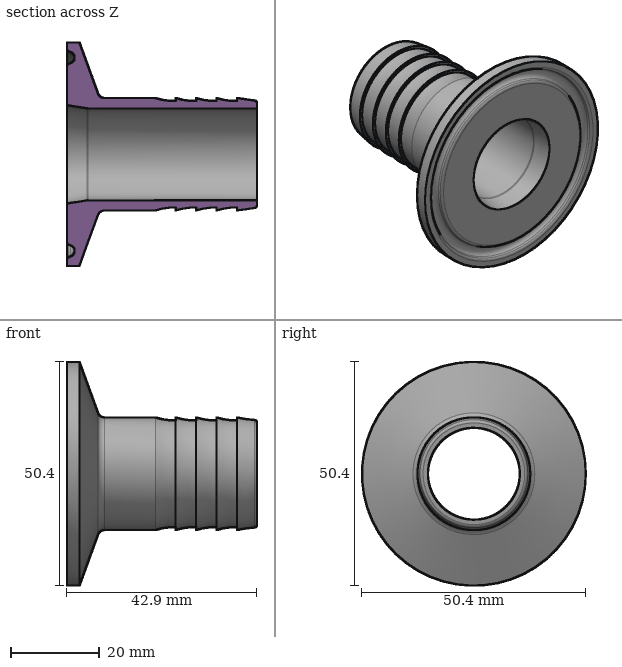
import cadquery as cq
import math

overall_length = 42.85
flange_radius = 25.2
rim_thickness = 2.85
flank_angle = 20.0
neck_fillet = 1.5

body_radius = 12.7
barb_count = 5
barb_pitch = 4.6
barb_drop = 0.65
barb_sag = 0.2
tip_fillet = 0.7

bore_diameter = 20.6
bore_radius = bore_diameter / 2
entry_radius = 11.05
entry_depth = 4.65
entry_blend = 1.5

groove_radius = 21.75
groove_half_width = 1.95
groove_wall_angle = 20.0
groove_floor_radius = 1.25
groove_edge_fillet = 0.65


def turned(outline):
    """Revolve an outline drawn as (X, radius) about the X axis."""
    return outline.close().revolve(360, (0, 0, 0), (1, 0, 0))


def make_outer_body():
    """Flange, neck and barbed hose tail, still without bore and groove."""
    barbs_start = overall_length - barb_count * barb_pitch
    barb_low_radius = body_radius - barb_drop

    slope = math.radians(flank_angle)
    corner_x = rim_thickness + (flange_radius - body_radius) * math.tan(slope)
    turn = math.pi / 2 - slope
    tangent_length = neck_fillet * math.tan(turn / 2)
    flank_end = (
        corner_x - tangent_length * math.sin(slope),
        body_radius + tangent_length * math.cos(slope),
    )
    neck_start = (corner_x + tangent_length, body_radius)
    fillet_middle = (
        neck_start[0] - neck_fillet * math.sin(turn / 2),
        body_radius + neck_fillet * (1 - math.cos(turn / 2)),
    )

    outline = (
        cq.Workplane("XY")
        .lineTo(0, flange_radius)
        .lineTo(rim_thickness, flange_radius)
        .lineTo(*flank_end)
        .threePointArc(fillet_middle, neck_start)
        .lineTo(barbs_start, body_radius)
    )
    for index in range(barb_count - 1):
        barb_x = barbs_start + index * barb_pitch
        middle_radius = body_radius - barb_drop / 2 - barb_sag
        outline = (
            outline
            .threePointArc((barb_x + barb_pitch / 2, middle_radius), (barb_x + barb_pitch, barb_low_radius))
            .lineTo(barb_x + barb_pitch, body_radius)
        )
    outline = outline.lineTo(overall_length, barb_low_radius).lineTo(overall_length, 0)
    return turned(outline).faces(">X").edges().fillet(tip_fillet)


def make_bore():
    """Through bore with a tapered entry on the flange side."""
    outline = (
        cq.Workplane("XY")
        .lineTo(0, entry_radius)
        .lineTo(entry_depth, bore_radius)
        .lineTo(overall_length, bore_radius)
        .lineTo(overall_length, 0)
    )
    bore = turned(outline)
    entry_end = cq.selectors.BoxSelector(
        (entry_depth - entry_blend / 2, -entry_radius, -entry_radius),
        (entry_depth + entry_blend / 2, entry_radius, entry_radius),
    )
    return bore.edges("%CIRCLE").edges(entry_end).fillet(entry_blend)


def make_gasket_groove():
    """Ring groove with a round floor, short tilted walls and rounded mouth edges."""
    turn = math.radians(90 - groove_wall_angle)
    edge_width = groove_edge_fillet * math.sin(turn)
    edge_depth = groove_edge_fillet * (1 - math.cos(turn))
    floor_half_width = groove_floor_radius * math.sin(turn)
    wall_width = groove_half_width - edge_width - floor_half_width
    wall_end_depth = edge_depth + wall_width * math.tan(turn)
    groove_depth = wall_end_depth + groove_floor_radius * (1 - math.cos(turn))

    half_edge_offset = groove_half_width - groove_edge_fillet * math.sin(turn / 2)
    half_edge_depth = groove_edge_fillet * (1 - math.cos(turn / 2))

    wall_start_offset = groove_half_width - edge_width
    outline = (
        cq.Workplane("XY")
        .moveTo(0, groove_radius - groove_half_width)
        .threePointArc(
            (half_edge_depth, groove_radius - half_edge_offset),
            (edge_depth, groove_radius - wall_start_offset),
        )
        .lineTo(wall_end_depth, groove_radius - floor_half_width)
        .threePointArc((groove_depth, groove_radius), (wall_end_depth, groove_radius + floor_half_width))
        .lineTo(edge_depth, groove_radius + wall_start_offset)
        .threePointArc(
            (half_edge_depth, groove_radius + half_edge_offset),
            (0, groove_radius + groove_half_width),
        )
    )
    return turned(outline)


result = make_outer_body().cut(make_bore()).cut(make_gasket_groove())